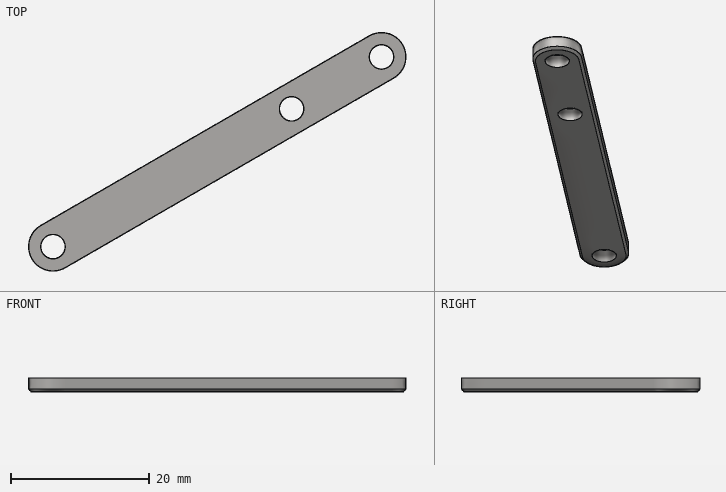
import cadquery as cq
import math

longest_side = 54.65
tilt = 30.0
hole_span = 54.9
middle_hole_gap = 15.0
hole_diameter = 3.5
thickness = 2.0
bottom_chamfer = 0.4

bar_width = longest_side - hole_span * math.cos(math.radians(tilt))
bar_length = hole_span + bar_width

lower_hole = -hole_span / 2
upper_hole = hole_span / 2
middle_hole = upper_hole - middle_hole_gap


def make_bar():
    """Round-ended flat bar with its bottom rim chamfered."""
    bar = cq.Workplane("XY").slot2D(bar_length, bar_width).extrude(thickness)
    return bar.faces("<Z").edges().chamfer(bottom_chamfer)


def make_holes():
    """Cylinders for the three through holes on the centre line."""
    centres = [(lower_hole, 0), (middle_hole, 0), (upper_hole, 0)]
    return cq.Workplane("XY").pushPoints(centres).circle(hole_diameter / 2).extrude(thickness)


result = make_bar().cut(make_holes()).rotate((0, 0, 0), (0, 0, 1), tilt)